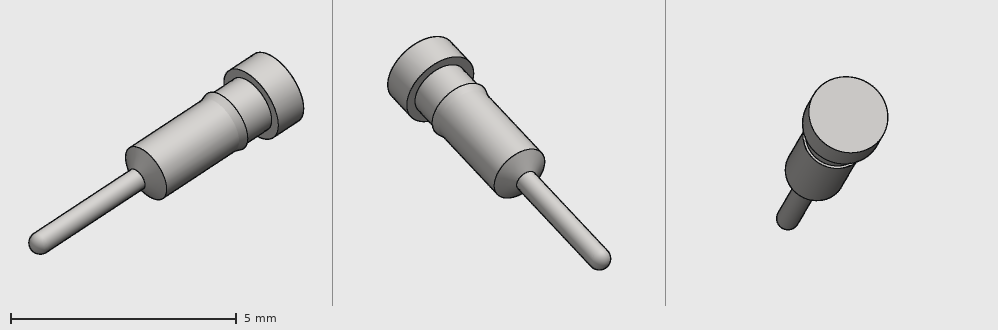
import cadquery as cq

head_diameter = 1.78
body_diameter = 1.35
barb_diameter = 1.47
pin_diameter = 0.51

total_length = 7.37
head_end = 0.77
barb_start = 1.54
barb_end = 1.74
body_end = 3.93
cone_end = 4.19


def frustum(start, end, start_diameter, end_diameter):
    """Solid of revolution about Y; the head face lies at Y = 0 and the tip points to -Y."""
    profile = [
        (0, -start),
        (start_diameter / 2, -start),
        (end_diameter / 2, -end),
        (0, -end),
    ]
    return cq.Workplane("XY").polyline(profile).close().revolve(360, (0, 0), (0, 1))


def round_tipped_pin(start, tip, diameter):
    """Cylinder along Y that ends in a hemisphere."""
    radius = diameter / 2
    dome_start = tip - radius
    shank = frustum(start, dome_start, diameter, diameter)
    dome = cq.Workplane("XY").sphere(radius).translate((0, -dome_start, 0))
    return shank.union(dome)


head = frustum(0, head_end, head_diameter, head_diameter)
body = frustum(head_end, body_end, body_diameter, body_diameter)
barb = frustum(barb_start, barb_end, barb_diameter, body_diameter)
cone = frustum(body_end, cone_end, body_diameter, pin_diameter)
pin = round_tipped_pin(cone_end, total_length, pin_diameter)

result = head.union(body).union(barb).union(cone).union(pin)